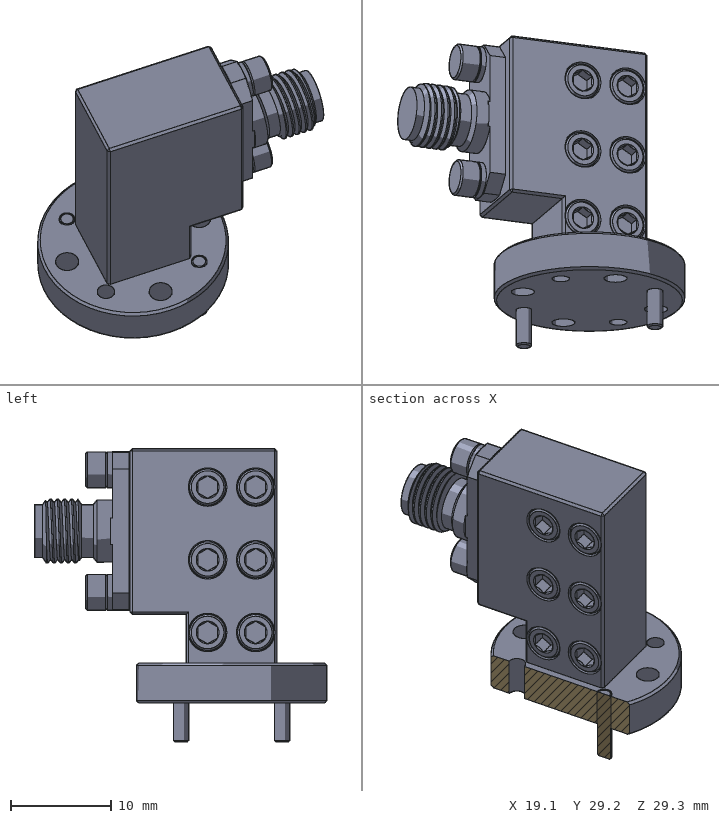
import cadquery as cq
import math


overall_height = 29.27
overall_depth = 29.2

flange_dia = 19.05
flange_thick = 4.0
edge_chamfer = 0.25
bolt_circle_radius = 7.15
bolt_hole_dia = 2.28
dowel_hole_dia = 1.73

pin_dia = 1.55
pin_projection = 3.85
pin_chamfer = 0.15
pin_angle = 45

housing_width = 8.7
housing_front = -4.55
housing_back = 10.15
housing_top = overall_height - pin_projection
leg_back = -housing_front
overhang_z = 8.87

screw_head_dia = 3.6
screw_head_height = 2.17
head_chamfer = 0.18

counterbore_dia = 3.83
socket_flats = 1.95
socket_depth = 1.45
socket_lead_in = 0.15
clamp_y_offset = 2.4
clamp_z_pitch = 7.25
clamp_z_middle = 14.3

connector_x = -0.38
connector_z = 17.18
tip_y = overall_depth - flange_dia / 2
plate_gap = 0.1
plate_thick = 1.67
plate_width = 5.65
plate_end_radius = 7.93
plate_corner = 1.67
collar_dia = 6.23
collar_undercut = 0.2
collar_end_y = 13.43
neck_dia = 5.3
neck_start_y = 13.82
thread_start_y = 15.0
thread_end_y = 18.88
thread_dia = 6.4
thread_pitch = 0.705
thread_depth = 0.35
thread_lead = 0.38
groove_start_y = 14.37
groove_turns = 7
groove_clearance = 0.03
thread_crest = 0.15

plate_screw_z_offset = 6.12
washer_thick = 0.5
head_under_chamfer = 0.18

plate_face_y = housing_back + plate_gap + plate_thick


def revolve_along_y(profile):
    """Turn (radius, y) points about the connector axis."""
    return (
        cq.Workplane("XY")
        .polyline(profile)
        .close()
        .revolve(360, (0, 0, 0), (0, 1, 0))
        .translate((connector_x, 0, connector_z))
    )


def make_flange():
    disc = cq.Workplane("XY").circle(flange_dia / 2).extrude(flange_thick).edges().chamfer(edge_chamfer)
    bolt_holes = (
        cq.Workplane("XY")
        .polarArray(bolt_circle_radius, 0, 360, 4)
        .circle(bolt_hole_dia / 2)
        .extrude(flange_thick)
    )
    dowel_holes = (
        cq.Workplane("XY")
        .polarArray(bolt_circle_radius, 180 - pin_angle, 360, 2)
        .circle(dowel_hole_dia / 2)
        .extrude(flange_thick)
    )
    pin_holes = (
        cq.Workplane("XY")
        .polarArray(bolt_circle_radius, pin_angle, 360, 2)
        .circle(pin_dia / 2)
        .extrude(flange_thick)
    )
    return disc.cut(bolt_holes).cut(dowel_holes).cut(pin_holes)


def make_pin(angle):
    return (
        cq.Workplane("XY", origin=(bolt_circle_radius, 0, -pin_projection))
        .circle(pin_dia / 2)
        .extrude(pin_projection + flange_thick)
        .edges()
        .chamfer(pin_chamfer)
        .rotate((0, 0, 0), (0, 0, 1), angle)
    )


def make_clamp_recess(y, z):
    """Ring of clearance around a flush screw head, with the head's hexagon socket."""
    face_x = -housing_width / 2
    face = cq.Workplane("YZ", origin=(face_x, y, z))
    head = face.circle(screw_head_dia / 2).extrude(screw_head_height).faces("<X").chamfer(head_chamfer)
    gap = face.circle(counterbore_dia / 2).extrude(screw_head_height).cut(head)
    corner_radius = socket_flats / math.sqrt(3)
    socket = (
        face.transformed(rotate=(0, 0, 90))
        .polygon(6, 2 * corner_radius)
        .extrude(socket_depth)
    )
    lead_in = cq.Solid.makeCone(
        corner_radius, corner_radius - socket_lead_in, socket_lead_in,
        pnt=cq.Vector(face_x, y, z), dir=cq.Vector(1, 0, 0),
    )
    return gap.union(socket).union(cq.Workplane(lead_in))


def make_housing():
    block = (
        cq.Workplane("YZ")
        .polyline([
            (housing_front, flange_thick),
            (leg_back, flange_thick),
            (leg_back, overhang_z),
            (housing_back, overhang_z),
            (housing_back, housing_top),
            (housing_front, housing_top),
        ])
        .close()
        .extrude(housing_width / 2, both=True)
    )
    inner_corner = cq.selectors.BoxSelector(
        (-housing_width, leg_back - edge_chamfer, overhang_z - edge_chamfer),
        (housing_width, leg_back + edge_chamfer, overhang_z + edge_chamfer),
    )
    foot = cq.selectors.StringSyntaxSelector("<Z")
    sharp_edges = cq.selectors.SumSelector(foot, inner_corner)
    block = block.edges(cq.selectors.InverseSelector(sharp_edges)).chamfer(edge_chamfer)
    for y in (-clamp_y_offset, clamp_y_offset):
        for row in (-1, 0, 1):
            block = block.cut(make_clamp_recess(y, clamp_z_middle + row * clamp_z_pitch))
    return block


def make_plate():
    """Connector plate: straight sides, sloped corners and arched ends."""
    side = plate_width / 2
    end_half = side - plate_corner
    end_z = math.sqrt(plate_end_radius ** 2 - end_half ** 2)
    side_z = end_z - plate_corner
    return (
        cq.Workplane("XZ", origin=(connector_x, plate_face_y, connector_z))
        .moveTo(side, -side_z)
        .lineTo(side, side_z)
        .lineTo(end_half, end_z)
        .threePointArc((0, plate_end_radius), (-end_half, end_z))
        .lineTo(-side, side_z)
        .lineTo(-side, -side_z)
        .lineTo(-end_half, -end_z)
        .threePointArc((0, -plate_end_radius), (end_half, -end_z))
        .close()
        .extrude(plate_thick)
    )


def make_groove_turn(start_y):
    """One turn of the right-hand helical V groove."""
    crest_radius = thread_dia / 2
    root_radius = crest_radius - thread_depth
    outer_radius = crest_radius + groove_clearance
    half_width = (thread_pitch - thread_crest) / 2
    outer_half_width = half_width * (thread_depth + groove_clearance) / thread_depth
    helix = cq.Wire.makeHelix(thread_pitch, thread_pitch, crest_radius)
    groove = (
        cq.Workplane("XZ")
        .polyline([
            (root_radius, 0),
            (outer_radius, outer_half_width),
            (outer_radius, -outer_half_width),
        ])
        .close()
        .sweep(cq.Workplane(helix), isFrenet=True)
    )
    upright_to_y = groove.rotate((0, 0, 0), (1, 0, 0), -90)
    return upright_to_y.translate((connector_x, start_y, connector_z))


def make_barrel():
    neck_radius = neck_dia / 2
    collar_radius = collar_dia / 2
    thread_radius = thread_dia / 2
    collar_start_y = plate_face_y + collar_undercut
    barrel = revolve_along_y([
        (0, collar_start_y),
        (collar_radius, collar_start_y),
        (collar_radius, collar_end_y),
        (neck_radius, neck_start_y),
        (neck_radius, thread_start_y),
        (thread_radius, thread_start_y + thread_lead),
        (thread_radius, thread_end_y - thread_lead),
        (neck_radius, thread_end_y),
        (neck_radius, tip_y),
        (0, tip_y),
    ])
    for turn in range(groove_turns):
        barrel = barrel.cut(make_groove_turn(groove_start_y + turn * thread_pitch))
    return barrel


def make_collar_base():
    """Stretch of the collar next to the plate, cut flat to the width of the plate."""
    face = cq.Workplane("XZ", origin=(connector_x, plate_face_y, connector_z))
    disc = face.circle(collar_dia / 2).extrude(-collar_undercut)
    flats = face.rect(plate_width, collar_dia).extrude(-collar_undercut)
    return disc.intersect(flats)


def make_plate_screw(z_offset):
    """Cap screw head on its washer, at a height above the connector axis."""
    radius = screw_head_dia / 2
    head_y = plate_face_y + washer_thick
    end_y = head_y + screw_head_height
    return revolve_along_y([
        (0, plate_face_y),
        (radius, plate_face_y),
        (radius, head_y),
        (radius - head_under_chamfer, head_y),
        (radius, head_y + head_under_chamfer),
        (radius, end_y - head_chamfer),
        (radius - head_chamfer, end_y),
        (0, end_y),
    ]).translate((0, 0, z_offset))


def make_connector():
    connector = make_plate().union(make_collar_base()).union(make_barrel())
    for z_offset in (-plate_screw_z_offset, plate_screw_z_offset):
        connector = connector.union(make_plate_screw(z_offset))
    return connector


flange = make_flange()
housing = make_housing()
connector = make_connector()
pins = [make_pin(angle) for angle in (pin_angle, pin_angle + 180)]

result = cq.Compound.makeCompound(
    [flange.val(), housing.val(), connector.val(), *[pin.val() for pin in pins]]
)